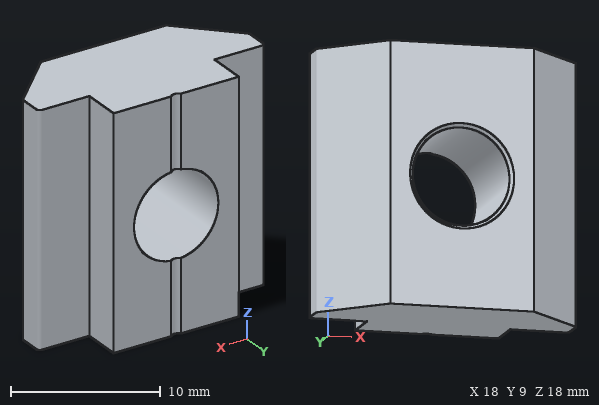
import cadquery as cq

width = 18.0
depth = 9.0
height = 18.0

neck_width = 9.94
neck_depth = 3.0
taper_depth = (width - neck_width) / 2
corner_radius = 0.29

groove_width = 0.8
groove_depth = 0.2

hole_diameter = 6.7
hole_chamfer = 0.25

front_y = -depth / 2
back_y = depth / 2
shoulder_y = back_y - neck_depth
flank_y = front_y + taper_depth


def make_body():
    """Extrude the T-nut section along Z and round its outer edges."""
    half_width = width / 2
    half_neck = neck_width / 2
    right_side = [
        (half_neck, front_y),
        (half_width, flank_y),
        (half_width, shoulder_y),
        (half_neck, shoulder_y),
        (half_neck, back_y),
    ]
    left_side = [(-x, y) for x, y in reversed(right_side)]
    body = (
        cq.Workplane("XY")
        .polyline(right_side + left_side)
        .close()
        .extrude(height / 2, both=True)
    )
    return body.edges("|Z").edges("<X or >X").fillet(corner_radius)


def make_groove_cutter():
    """Make the round-bottomed groove that runs along Z in the neck face."""
    half_groove = groove_width / 2
    return (
        cq.Workplane("XY")
        .moveTo(-half_groove, back_y)
        .threePointArc((0, back_y - groove_depth), (half_groove, back_y))
        .close()
        .extrude(height / 2, both=True)
    )


def make_hole_cutter():
    """Revolve the through hole, with a 45 degree chamfer at its front mouth."""
    hole_radius = hole_diameter / 2
    mouth_radius = hole_radius + hole_chamfer
    return (
        cq.Workplane("XY")
        .moveTo(0, front_y)
        .lineTo(mouth_radius, front_y)
        .lineTo(hole_radius, front_y + hole_chamfer)
        .lineTo(hole_radius, back_y)
        .lineTo(0, back_y)
        .close()
        .revolve(360, (0, 0, 0), (0, 1, 0))
    )


result = make_body().cut(make_groove_cutter()).cut(make_hole_cutter())